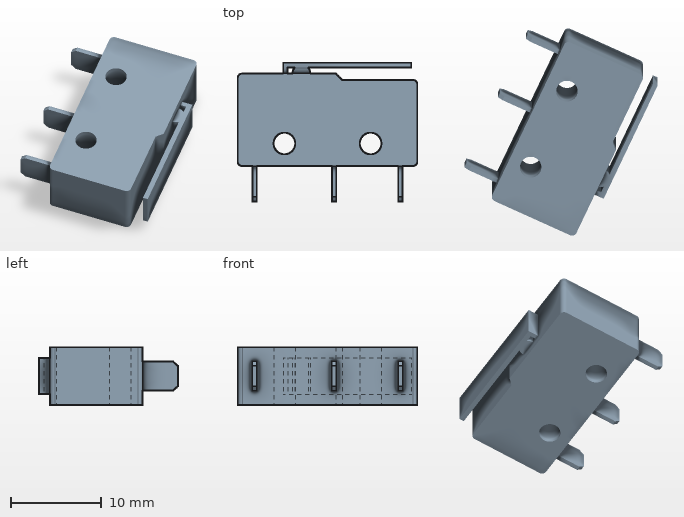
import cadquery as cq

length = 19.8
thickness = 6.4
housing_height = 10.2
corner_radius = 0.51
step_depth = 0.7
step_start = 10.81

hole_diameter = 2.35
hole_spacing = 9.48
hole_height = 2.5

lever_left = 5.03
lever_right = 19.13
lever_width = 4.0
arm_thickness = 0.55
leg_thickness = 0.5
lever_rise = 1.2

plunger_center = 7.03
plunger_radius = 0.99
plunger_width = lever_width
plunger_height = lever_rise - arm_thickness

terminal_positions = (1.88, 10.63, 17.92)
terminal_thickness = 0.5
terminal_width = 3.2
terminal_length = 3.9
tip_chamfer_length = 0.55
tip_chamfer_width = 0.5


def make_housing():
    """Rounded block with a sloped step in its top edge and two through holes."""
    low_height = housing_height - step_depth
    outline = [
        (0, 0),
        (length, 0),
        (length, low_height),
        (step_start + step_depth, low_height),
        (step_start, housing_height),
        (0, housing_height),
    ]
    block = cq.Workplane("XY").polyline(outline).close().extrude(thickness / 2, both=True)
    block = block.edges("|Z and (<X or >X)").fillet(corner_radius)
    hole_centers = [(length / 2 + side * hole_spacing / 2, hole_height) for side in (-1, 1)]
    holes = (
        cq.Workplane("XY")
        .pushPoints(hole_centers)
        .circle(hole_diameter / 2)
        .extrude(thickness, both=True)
    )
    return block.cut(holes)


def make_lever():
    """L-shaped strip standing on the top edge of the housing."""
    top = housing_height + lever_rise
    arm_underside = top - arm_thickness
    leg_right = lever_left + leg_thickness
    profile = [
        (lever_left, housing_height),
        (leg_right, housing_height),
        (leg_right, arm_underside),
        (lever_right, arm_underside),
        (lever_right, top),
        (lever_left, top),
    ]
    return cq.Workplane("XY").polyline(profile).close().extrude(lever_width / 2, both=True)


def make_plunger():
    """Round button on the housing, flat where it touches the arm."""
    cylinder = (
        cq.Workplane("XY")
        .center(plunger_center, housing_height)
        .circle(plunger_radius)
        .extrude(plunger_width / 2, both=True)
    )
    exposed_band = cq.Workplane("XY").box(
        2 * plunger_radius, plunger_height, plunger_width, centered=(True, False, True)
    )
    return cylinder.intersect(exposed_band.translate((plunger_center, housing_height, 0)))


def make_terminal(x_center):
    """Thin blade below the housing, its two tip corners chamfered."""
    half_width = terminal_width / 2
    tip_half_width = half_width - tip_chamfer_width
    shoulder = -terminal_length + tip_chamfer_length
    outline = [
        (0, -half_width),
        (shoulder, -half_width),
        (-terminal_length, -tip_half_width),
        (-terminal_length, tip_half_width),
        (shoulder, half_width),
        (0, half_width),
    ]
    blade = cq.Workplane("YZ").polyline(outline).close().extrude(terminal_thickness / 2, both=True)
    return blade.translate((x_center, 0, 0))


result = make_housing().union(make_lever()).union(make_plunger())
for position in terminal_positions:
    result = result.union(make_terminal(position))